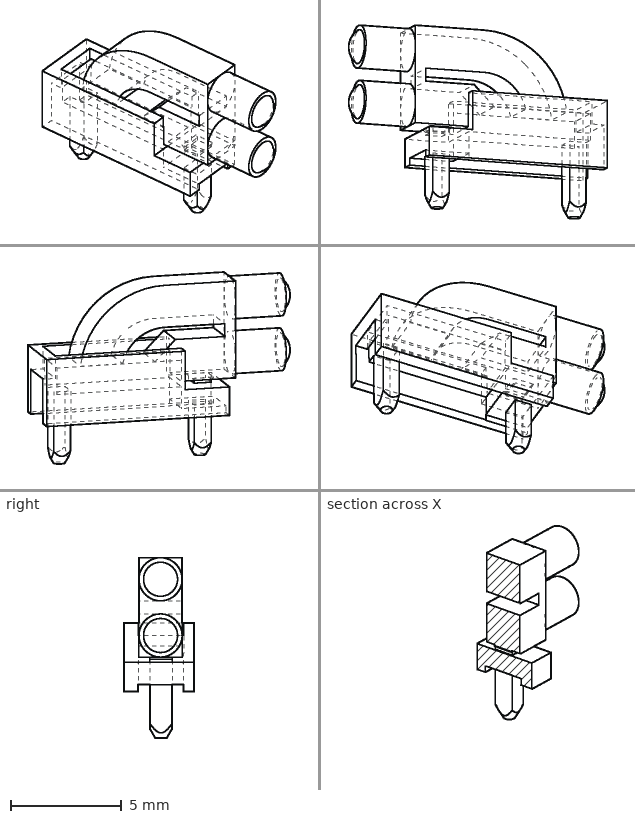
import cadquery as cq
import math


housing_length = 8.58
housing_height = 3.1
housing_y_min = -1.68
housing_y_max = 1.5
cavity_half_width = 1.035
back_wall = 0.58
back_opening_height = 2.07
step_x = 6.5
step_height = 1.32
front_bar_bottom = 0.32
wall_pad_thickness = 0.04
wall_pad_height = 1.37

plate_gap = 0.07
plate_bottom = 1.32
plate_top = 2.55

pipe_size = 1.95
pipe_spacing = 2.54
pipe_center_y = -0.02
pipe_top = 6.05
bend_center_x = 5.73
bend_outer_radius = 4.0
bend_inner_radius = bend_outer_radius - pipe_size
bend_center_z = pipe_top - bend_outer_radius
pipe_face_x = 9.05
slot_end_x = 8.55
lower_pipe_top = pipe_top - pipe_spacing
lower_pipe_bottom = lower_pipe_top - pipe_size
lower_pipe_start_x = 6.22

lamp_length = 2.38
dome_height = 0.42
dome_edge_radius = 0.77

pin_x_size = 0.8
pin_y_size = 1.0
pin_bottom = -2.1
pin_tip_radius = 0.265
pin_tip_half_angle = 30
first_pin_x = 1.05
pin_pitch = 6.6
collar_height = 0.1
collar_growth = 0.1


def box(x_range, y_range, z_range):
    """Box spanning the given (low, high) ranges."""
    sizes = [high - low for low, high in (x_range, y_range, z_range)]
    corner = (x_range[0], y_range[0], z_range[0])
    return cq.Workplane("XY").box(*sizes, centered=False).translate(corner)


def make_housing():
    """Channel with a notched back wall, a low front step and a front cross bar."""
    housing_y = (housing_y_min, housing_y_max)
    cavity_y = (-cavity_half_width, cavity_half_width)
    body = box((0, housing_length), housing_y, (0, housing_height))
    body = body.cut(box((step_x, housing_length), housing_y, (step_height, housing_height)))
    body = body.cut(box((back_wall, housing_length), cavity_y, (0, housing_height)))
    body = body.cut(box((0, back_wall), cavity_y, (0, back_opening_height)))
    body = body.union(make_wall_pad())
    return body.union(box((step_x, housing_length), cavity_y, (front_bar_bottom, step_height)))


def make_wall_pad():
    """Slight thickening low on the +Y cavity wall, drafted away up to the back opening."""
    pad_face_y = cavity_half_width - wall_pad_thickness
    return (
        cq.Workplane("YZ")
        .moveTo(cavity_half_width, 0)
        .lineTo(pad_face_y, 0)
        .lineTo(pad_face_y, wall_pad_height)
        .lineTo(cavity_half_width, back_opening_height)
        .close()
        .extrude(step_x)
    )


def make_base_plate():
    """Plate across the cavity, just clear of the back wall."""
    return box(
        (back_wall + plate_gap, step_x),
        (-cavity_half_width, cavity_half_width),
        (plate_bottom, plate_top),
    )


def make_light_pipes():
    """Bent upper pipe and straight lower pipe, joined at the lamp face."""
    diagonal = math.sqrt(0.5)
    inner_top = bend_center_z + bend_inner_radius
    chamfer_start_x = lower_pipe_start_x - (lower_pipe_top - plate_top)
    profile = (
        cq.Workplane("XZ")
        .moveTo(bend_center_x - bend_outer_radius, bend_center_z)
        .threePointArc(
            (bend_center_x - bend_outer_radius * diagonal, bend_center_z + bend_outer_radius * diagonal),
            (bend_center_x, pipe_top),
        )
        .lineTo(pipe_face_x, pipe_top)
        .lineTo(pipe_face_x, lower_pipe_bottom)
        .lineTo(chamfer_start_x, lower_pipe_bottom)
        .lineTo(chamfer_start_x, plate_top)
        .lineTo(lower_pipe_start_x, lower_pipe_top)
        .lineTo(slot_end_x, lower_pipe_top)
        .lineTo(slot_end_x, inner_top)
        .lineTo(bend_center_x, inner_top)
        .threePointArc(
            (bend_center_x - bend_inner_radius * diagonal, bend_center_z + bend_inner_radius * diagonal),
            (bend_center_x - bend_inner_radius, bend_center_z),
        )
        .close()
    )
    return profile.extrude(pipe_size / 2, both=True).translate((0, pipe_center_y, 0))


def make_lamp(center_z):
    """Round lamp end with a shallow dome, pointing along +X."""
    dome_radius = (dome_edge_radius**2 + dome_height**2) / (2 * dome_height)
    half_angle = math.asin(dome_edge_radius / dome_radius) / 2
    dome_mid = (
        lamp_length + dome_height - dome_radius * (1 - math.cos(half_angle)),
        dome_radius * math.sin(half_angle),
    )
    half_profile = (
        cq.Workplane("XY")
        .lineTo(0, pipe_size / 2)
        .lineTo(lamp_length, pipe_size / 2)
        .lineTo(lamp_length, dome_edge_radius)
        .threePointArc(dome_mid, (lamp_length + dome_height, 0))
        .close()
    )
    return half_profile.revolve(360, (0, 0), (1, 0)).translate((pipe_face_x, pipe_center_y, center_z))


def make_pin(center_x, top):
    """Rectangular pin whose lower end is trimmed by a cone."""
    height = top - pin_bottom
    base_plane = cq.Workplane("XY", origin=(center_x, 0, pin_bottom))
    shaft = base_plane.rect(pin_x_size, pin_y_size).extrude(height)
    cone = base_plane.circle(pin_tip_radius).extrude(height, taper=-pin_tip_half_angle)
    return shaft.intersect(cone)


def make_collar(center_x):
    """Flare along X where the front pin enters the underside of the lower pipe."""
    return (
        cq.Workplane("XY", origin=(center_x, 0, lower_pipe_bottom - collar_height))
        .rect(pin_x_size, pin_y_size)
        .workplane(offset=collar_height)
        .rect(pin_x_size + 2 * collar_growth, pin_y_size)
        .loft()
    )


front_pin_x = first_pin_x + pin_pitch
upper_lamp_z = pipe_top - pipe_size / 2

result = make_housing().union(make_base_plate()).union(make_light_pipes())
for lamp_z in (upper_lamp_z, upper_lamp_z - pipe_spacing):
    result = result.union(make_lamp(lamp_z))
result = result.union(make_pin(first_pin_x, plate_top))
result = result.union(make_pin(front_pin_x, lower_pipe_bottom))
result = result.union(make_collar(front_pin_x))